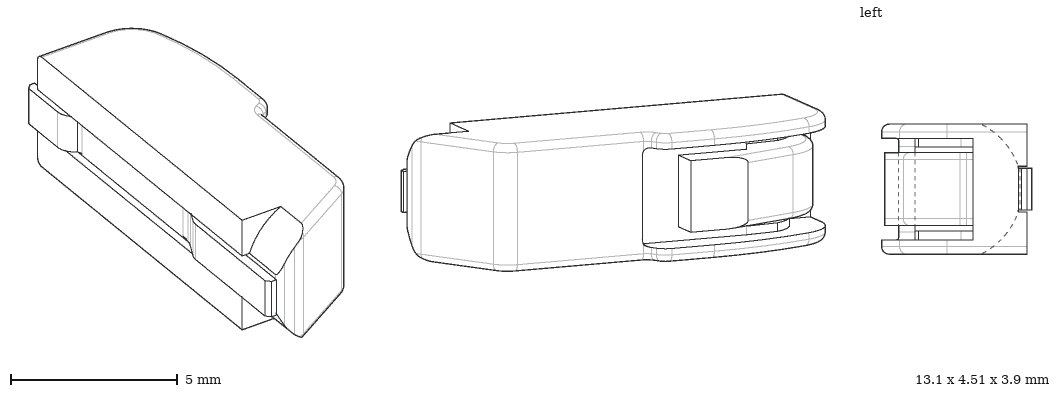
import cadquery as cq
import math


length = 13.1
width = 3.9
front_x = 0.4
crest_y = 4.36
crest_start_x = 4.77
crest_end_x = 6.43
crown_radius = 10.6
brow_radius = 1.49
rear_y = 3.85
step_angle = 60.0
rear_end_x = 11.41
tail_angle = 31.0
step_top_radius = 0.47
step_foot_radius = 0.24
tail_top_radius = 0.73
tail_end_radius = 0.79
tail_foot_radius = 0.2
edge_radius = 0.24

nose_x = 11.5
nose_top_y = 1.39
nose_radius = 2.25

groove_width = 1.36
groove_depth = 0.26
strip_width = 1.26
strip_top_y = 0.17
strip_bottom_y = -0.15
strip_chamfer = 0.15
strip_ramp = 0.52
front_bend_x = (1.7, 2.25)
front_bend_radius = 0.6
front_strip_end_x = 2.42
rear_strip_end_x = 7.9
rear_bend_x = (8.37, 9.08)
rear_bend_y = 0.2
rear_inner_radius = 0.75
rear_outer_radius = 0.52

cheek_gap = 3.04
floor_y = 1.62
ledge_y = 3.35
ledge_x = 3.28
back_wall_x = 6.9
back_corner_radius = 0.24

channel_width = 2.52
ear_x = 1.38
ear_tangent_y = 1.98
ear_radius = 1.39
ear_rise = 1.27

lever_width = 2.19
lever_x = 0.67
lever_tangent_y = 2.02
lever_radius = 1.78
lever_sweep = 72.0
lever_top_y = 4.27
lever_back_x = 5.5
lever_edge_radius = 0.21
lever_foot_radius = 0.2
lever_root_depth = 0.39


def slab(outline, thickness):
    """Extrude a closed XY outline, centred on Z = 0."""
    return outline.extrude(thickness / 2, both=True)


def block(x_min, x_max, y_min, y_max, thickness):
    """Box centred on Z = 0."""
    outline = cq.Workplane("XY").moveTo(x_min, y_min).lineTo(x_max, y_min)
    return slab(outline.lineTo(x_max, y_max).lineTo(x_min, y_max).close(), thickness)


def round_upright(body, x, y, radius):
    """Fillet the Z-parallel edge nearest to (x, y)."""
    return body.edges("|Z").edges(cq.selectors.NearestToPointSelector((x, y, 0))).fillet(radius)


def crown_y(x):
    """Height of the crown arc at x."""
    run = crest_start_x - x
    return crest_y - crown_radius + math.sqrt(crown_radius**2 - run**2)


def make_housing():
    brow_y = crown_y(front_x)
    step_foot_x = crest_end_x + (crest_y - rear_y) / math.tan(math.radians(step_angle))
    tail_end_y = rear_y - (length - rear_end_x) / math.tan(math.radians(tail_angle))
    crown_mid_x = (front_x + crest_start_x) / 2

    outline = (
        cq.Workplane("XY")
        .moveTo(front_x, 0)
        .lineTo(front_x, brow_y)
        .threePointArc((crown_mid_x, crown_y(crown_mid_x)), (crest_start_x, crest_y))
        .lineTo(crest_end_x, crest_y)
        .lineTo(step_foot_x, rear_y)
        .lineTo(rear_end_x, rear_y)
        .lineTo(length, tail_end_y)
        .lineTo(length, groove_depth)
        .lineTo(nose_x, groove_depth)
        .lineTo(nose_x, 0)
        .close()
    )
    body = slab(outline, width)
    for x, y, radius in [
        (front_x, brow_y, brow_radius),
        (crest_end_x, crest_y, step_top_radius),
        (step_foot_x, rear_y, step_foot_radius),
        (rear_end_x, rear_y, tail_top_radius),
        (length, tail_end_y, tail_end_radius),
        (length, groove_depth, tail_foot_radius),
    ]:
        body = round_upright(body, x, y, radius)

    for side in (1, -1):
        corner = (front_x, brow_y / 4, side * width / 2)
        body = body.edges(cq.selectors.NearestToPointSelector(corner)).fillet(edge_radius)
    return body


def nose_trim():
    """Material outside the two bulging flanks of the nose."""
    groove_z = groove_width / 2
    side_z = width / 2
    outer_z = side_z + 0.13
    flank = (
        cq.Workplane("YZ", origin=(nose_x, 0, 0))
        .moveTo(nose_top_y, side_z)
        .radiusArc((groove_depth, groove_z), -nose_radius)
        .lineTo(-0.13, groove_z)
        .lineTo(-0.13, outer_z)
        .lineTo(nose_top_y, outer_z)
        .close()
        .extrude(length)
    )
    return flank.union(flank.mirror("XY"))


def cheek_space():
    """Open space between the cheeks, up to the ledge and the back wall."""
    above = crest_y + 0.13
    lower = block(front_x - 0.13, ledge_x, floor_y, above, cheek_gap)
    upper = block(ledge_x, back_wall_x, ledge_y, above, cheek_gap)
    upper = upper.edges(">X and |Y").fillet(back_corner_radius)
    return lower.union(upper)


def make_ears():
    """Rounded shoulders that fill the gap on both sides of the lever channel."""
    run = ear_radius - math.sqrt(ear_radius**2 - ear_rise**2)
    half_rise = ear_radius * math.sin(math.asin(ear_rise / ear_radius) / 2)
    half_run = ear_radius - math.sqrt(ear_radius**2 - half_rise**2)
    outline = (
        cq.Workplane("XY")
        .moveTo(ear_x, floor_y)
        .lineTo(ear_x, ear_tangent_y)
        .threePointArc((ear_x + half_run, ear_tangent_y + half_rise), (ear_x + run, ear_tangent_y + ear_rise))
        .lineTo(ledge_x, ledge_y)
        .lineTo(ledge_x, floor_y)
        .close()
    )
    return slab(outline, cheek_gap).cut(block(ear_x, ledge_x, floor_y, crest_y, channel_width))


def make_lever():
    def front_point(angle):
        turn = math.radians(angle)
        x = lever_x + lever_radius * (1 - math.cos(turn))
        return x, lever_tangent_y + lever_radius * math.sin(turn)

    ramp_x, ramp_y = front_point(lever_sweep)
    top_x = ramp_x + (lever_top_y - ramp_y) * math.tan(math.radians(lever_sweep))
    root_y = floor_y - lever_root_depth
    outline = (
        cq.Workplane("XY")
        .moveTo(front_x, root_y)
        .lineTo(front_x, floor_y)
        .lineTo(lever_x - lever_foot_radius, floor_y)
        .radiusArc((lever_x, floor_y + lever_foot_radius), -lever_foot_radius)
        .lineTo(lever_x, lever_tangent_y)
        .threePointArc(front_point(lever_sweep / 2), (ramp_x, ramp_y))
        .lineTo(top_x, lever_top_y)
        .lineTo(lever_back_x, lever_top_y)
        .lineTo(lever_back_x, root_y)
        .close()
    )
    lever = slab(outline, lever_width)
    for side in (1, -1):
        rim = (lever_x, lever_tangent_y, side * lever_width / 2)
        lever = lever.edges(cq.selectors.NearestToPointSelector(rim)).fillet(lever_edge_radius)
    return lever


def make_front_strip():
    bend_start_x, bend_end_x = front_bend_x
    bend_run = bend_end_x - bend_start_x
    bend_end_y = strip_bottom_y + front_bend_radius - math.sqrt(front_bend_radius**2 - bend_run**2)
    outline = (
        cq.Workplane("XY")
        .moveTo(0, strip_top_y)
        .lineTo(0, strip_bottom_y + strip_chamfer)
        .lineTo(strip_chamfer, strip_bottom_y)
        .lineTo(bend_start_x, strip_bottom_y)
        .radiusArc((bend_end_x, bend_end_y), -front_bend_radius)
        .lineTo(front_strip_end_x, groove_depth)
        .lineTo(front_x + strip_ramp, groove_depth)
        .lineTo(front_x, strip_top_y)
        .close()
    )
    return slab(outline, strip_width)


def make_rear_strip():
    inner_bend_x, outer_bend_x = rear_bend_x
    outline = (
        cq.Workplane("XY")
        .moveTo(length, strip_top_y)
        .lineTo(length, strip_bottom_y + strip_chamfer)
        .lineTo(length - strip_chamfer, strip_bottom_y)
        .lineTo(outer_bend_x, strip_bottom_y)
        .lineTo(inner_bend_x, rear_bend_y)
        .lineTo(rear_strip_end_x, groove_depth)
        .lineTo(nose_x - strip_ramp, groove_depth)
        .lineTo(nose_x, strip_top_y)
        .close()
    )
    strip = slab(outline, strip_width)
    strip = round_upright(strip, inner_bend_x, rear_bend_y, rear_inner_radius)
    return round_upright(strip, outer_bend_x, strip_bottom_y, rear_outer_radius)


housing = make_housing().cut(nose_trim()).cut(cheek_space())
housing = housing.cut(block(front_x - 0.13, length, -0.13, groove_depth, groove_width))

result = housing.union(make_ears()).union(make_lever())
result = result.union(make_front_strip()).union(make_rear_strip())